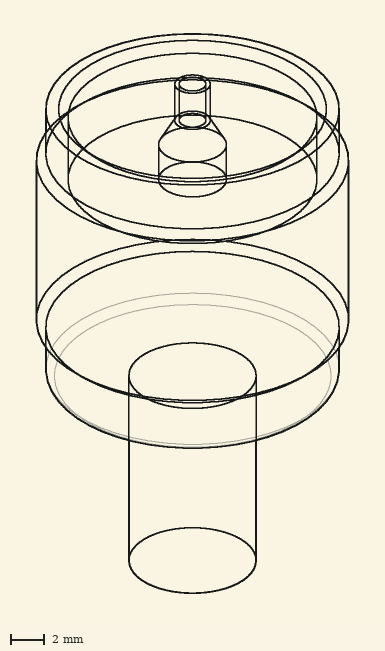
import cadquery as cq

total_height = 32.75

stem_diameter = 7.5

nut_bottom = 12.7
nut_top = 31.0
band_radius = 8.65
nut_bottom_fillet = 0.5
grip_radius = 9.2
grip_bottom = 16.05
grip_top = 28.0
grip_bevel_height = 0.5

cavity_radius = 7.35
cavity_floor = 26.2
cavity_chamfer = 0.55

shoulder_radius = 2.0
shoulder_top = 28.6
tip_radius = 1.05
tip_bottom = 30.25
bore_radius = 0.8
bore_depth = total_height - tip_bottom


def revolve_profile(points):
    """Revolve a closed (radius, height) outline about the Z axis."""
    return cq.Workplane("XZ").polyline(points).close().revolve(360, (0, 0, 0), (0, 1, 0))


def make_stem():
    return cq.Workplane("XY").circle(stem_diameter / 2).extrude(nut_bottom)


def make_nut():
    base = cq.Workplane("XY").workplane(offset=nut_bottom)
    band = base.circle(band_radius).extrude(nut_top - nut_bottom)
    band = band.faces("<Z").edges().fillet(nut_bottom_fillet)
    grip = revolve_profile([
        (0, grip_bottom),
        (band_radius, grip_bottom),
        (grip_radius, grip_bottom + grip_bevel_height),
        (grip_radius, grip_top - grip_bevel_height),
        (band_radius, grip_top),
        (0, grip_top),
    ])
    return band.union(grip)


def make_cavity():
    return revolve_profile([
        (0, cavity_floor),
        (cavity_radius, cavity_floor),
        (cavity_radius, nut_top - cavity_chamfer),
        (cavity_radius + cavity_chamfer, nut_top),
        (0, nut_top),
    ])


def make_contact():
    contact = revolve_profile([
        (0, cavity_floor),
        (shoulder_radius, cavity_floor),
        (shoulder_radius, shoulder_top),
        (tip_radius, tip_bottom),
        (tip_radius, total_height),
        (0, total_height),
    ])
    return contact.faces(">Z").workplane().hole(2 * bore_radius, bore_depth)


result = make_nut().cut(make_cavity()).union(make_stem()).union(make_contact())